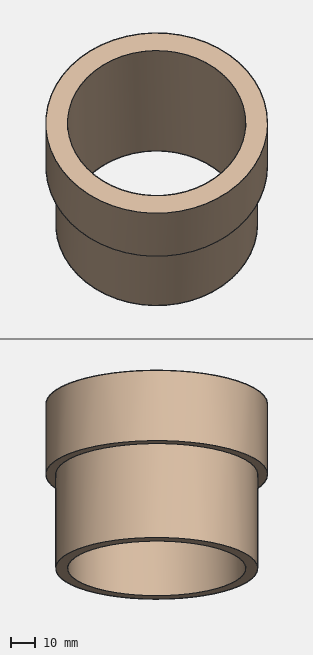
import cadquery as cq

COLLAR_DIAMETER = 90.0
SPIGOT_DIAMETER = 82.0
BORE_DIAMETER = 72.3
COLLAR_HEIGHT = 30.0
SPIGOT_HEIGHT = 40.0

TOTAL_HEIGHT = SPIGOT_HEIGHT + COLLAR_HEIGHT


def cylinder(diameter, bottom, height):
    """Upright cylinder on the Z axis, starting at the given level."""
    return cq.Workplane("XY").workplane(offset=bottom).circle(diameter / 2).extrude(height)


spigot = cylinder(SPIGOT_DIAMETER, 0, SPIGOT_HEIGHT)
collar = cylinder(COLLAR_DIAMETER, SPIGOT_HEIGHT, COLLAR_HEIGHT)
bore = cylinder(BORE_DIAMETER, 0, TOTAL_HEIGHT)

result = spigot.union(collar).cut(bore)